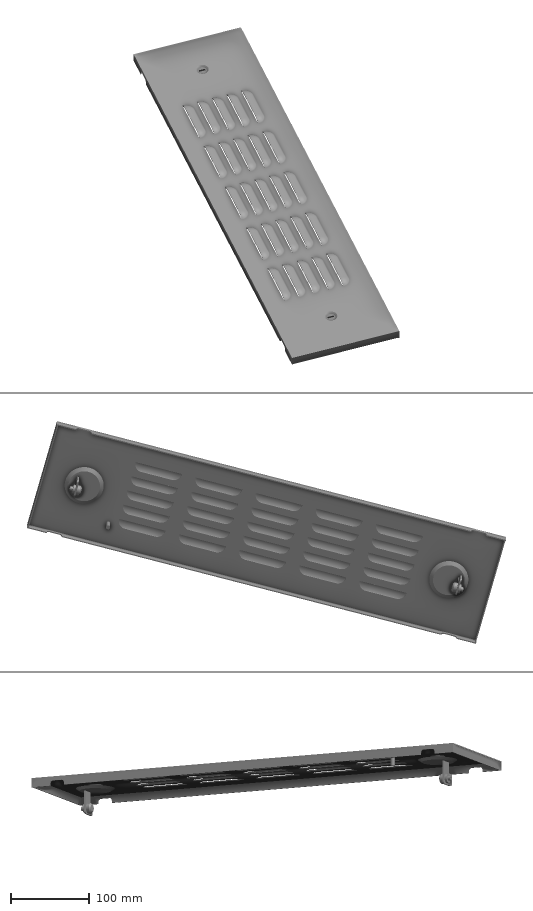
import cadquery as cq

length = 595.0
width = 146.0
skirt_depth = 12.0
sheet = 1.5
end_skirt_inset = 0.5

notch_outer_x = 271.5
notch_inner_x = 251.5
notch_top_z = -5.5
notch_radius = 4.0
notch_depth = skirt_depth + notch_top_z

louver_columns = 5
louver_rows = 5
louver_pitch_x = 80.0
louver_pitch_y = louver_pitch_x / 4
louver_offset_x = 4.0
louver_straight = 40.0
louver_opening_y = -6.5
louver_reach = 12.5
louver_height = 5.0
louver_wall = 1.5

fastener_x = 241.5
recess_diameter = 16.5
recess_floor_diameter = 12.0
recess_depth = 2.0
barrel_diameter = 19.5
screw_slot_length = 8.5
screw_slot_width = 3.0
screw_slot_depth = 2.5

collar_top_radius = 25.0
collar_bottom_radius = 20.0
collar_top_z = -6.0
collar_bottom_z = -9.0
leg_x = 253.0
leg_width = 15.0
leg_thickness = 2.1
leg_bottom_z = -38.5
leg_corner_radius = 3.0
wing_top_z = -23.0
wing_reach_y = 8.0
wing_shift_x = 0.9
pivot_z = -31.0
washer_radius = 6.0
washer_thickness = 3.0
pin_radius = 3.0
pin_length = 6.5
pin_hole_diameter = 2.5
knob_radius = 6.5
knob_length = 6.0
knob_chamfer = 2.0

stud_x = -198.0
stud_y = 43.0
stud_diameter = 5.5
stud_bottom_z = -17.0


def box_between(x_range, y_range, z_range):
    """Box spanning the given coordinate ranges."""
    size = [high - low for low, high in (x_range, y_range, z_range)]
    low_corner = (x_range[0], y_range[0], z_range[0])
    return cq.Workplane("XY").box(*size, centered=False).translate(low_corner)


def vertical_cylinder(x, y, diameter, bottom_z, top_z):
    return cq.Workplane("XY", origin=(x, y, bottom_z)).circle(diameter / 2).extrude(top_z - bottom_z)


def make_panel():
    """Panel with a skirt all round; the end skirts are set in slightly below the top sheet."""
    panel = cq.Workplane("XY").box(length, width, skirt_depth, centered=(True, True, False))
    panel = panel.translate((0, 0, -skirt_depth))
    inner_half_x = length / 2 - end_skirt_inset - sheet
    inner_half_y = width / 2 - sheet
    panel = panel.cut(
        box_between((-inner_half_x, inner_half_x), (-inner_half_y, inner_half_y), (-skirt_depth, -sheet))
    )
    inset = box_between(
        (length / 2 - end_skirt_inset, length / 2), (-inner_half_y, inner_half_y), (-skirt_depth, -sheet)
    )
    return panel.cut(inset).cut(inset.mirror("YZ"))


def make_notch():
    """Round-topped cutter through both long skirts on the +X side."""
    notch = box_between(
        (notch_inner_x, notch_outer_x), (-width, width), (notch_top_z - notch_depth, notch_top_z)
    )
    return notch.edges("|Y and >Z").fillet(notch_radius)


def make_hood(reach, height, bottom_z):
    """Solid hood centred on X: an arc-topped profile swept straight, then revolved at both ends."""
    half_straight = louver_straight / 2
    arc_radius = (reach**2 + height**2) / (2 * height)
    middle_y = reach / 2
    middle_z = height - arc_radius + (arc_radius**2 - middle_y**2) ** 0.5

    def profile(x):
        return (
            cq.Workplane("YZ", origin=(x, 0, 0))
            .moveTo(0, bottom_z)
            .lineTo(0, height)
            .threePointArc((middle_y, middle_z), (reach, 0))
            .lineTo(reach, bottom_z)
            .close()
        )

    middle = profile(-half_straight).extrude(louver_straight)
    end = profile(-half_straight).revolve(90, (0, 0, 0), (0, 1, 0))
    return middle.union(end).union(end.mirror("YZ"))


def add_louvers(panel):
    hood = make_hood(louver_reach, louver_height, -sheet)
    opening = make_hood(louver_reach - louver_wall, louver_height - louver_wall, -2 * sheet)
    for column in range(louver_columns):
        for row in range(louver_rows):
            x = louver_offset_x + (column - (louver_columns - 1) / 2) * louver_pitch_x
            y = (row - (louver_rows - 1) / 2) * louver_pitch_y + louver_opening_y
            panel = panel.union(hood.translate((x, y, 0))).cut(opening.translate((x, y, 0)))
    return panel


def make_cone(top_radius, bottom_radius, top_z, bottom_z):
    """Cone frustum on the axis of the +X fastener."""
    return (
        cq.Workplane("XY", origin=(fastener_x, 0, top_z))
        .circle(top_radius)
        .workplane(offset=bottom_z - top_z)
        .circle(bottom_radius)
        .loft()
    )


def make_recess():
    """Conical seat of the +X fastener, with the screw slot in its floor."""
    seat = make_cone(recess_diameter / 2, recess_floor_diameter / 2, 0, -recess_depth)
    slot = cq.Workplane("XY", origin=(fastener_x, 0, -recess_depth)).box(
        screw_slot_width, screw_slot_length, 2 * screw_slot_depth
    )
    return seat.union(slot)


def make_fastener():
    """Barrel joining the panel to a tapered collar."""
    barrel = vertical_cylinder(fastener_x, 0, barrel_diameter, collar_bottom_z, -sheet)
    collar = make_cone(collar_top_radius, collar_bottom_radius, collar_top_z, collar_bottom_z)
    return barrel.union(collar)


def cylinder_along_x(radius, x_start, x_end):
    """Cylinder on the latch pivot axis."""
    return cq.Workplane("YZ", origin=(x_start, 0, pivot_z)).circle(radius).extrude(x_end - x_start)


def make_latch():
    """Hanging leg, skewed wing and pivot hardware of the +X latch."""
    half_width = leg_width / 2
    leg_outer_x = leg_x + leg_thickness / 2
    leg_inner_x = leg_x - leg_thickness / 2

    leg = box_between((leg_inner_x, leg_outer_x), (-half_width, half_width), (leg_bottom_z, collar_top_z))
    leg = leg.edges("|X and <Z").fillet(leg_corner_radius)

    wing_tip_y = -half_width - wing_reach_y
    wing = (
        cq.Workplane("XY", origin=(0, 0, leg_bottom_z))
        .polyline([
            (leg_outer_x, -half_width + leg_thickness),
            (leg_outer_x, -half_width),
            (leg_outer_x + wing_shift_x, wing_tip_y),
            (leg_inner_x + wing_shift_x, wing_tip_y),
            (leg_inner_x, -half_width),
            (leg_inner_x, -half_width + leg_thickness),
        ])
        .close()
        .extrude(wing_top_z - leg_bottom_z)
    )
    wing_rounding = box_between(
        (leg_x - leg_width, leg_x + leg_width),
        (wing_tip_y, 0),
        (leg_bottom_z, wing_top_z),
    ).edges("|X and <Z and <Y").fillet(leg_corner_radius)
    wing = wing.intersect(wing_rounding)

    washer = cylinder_along_x(washer_radius, leg_x, leg_outer_x + washer_thickness)
    pin = cylinder_along_x(pin_radius, leg_x, leg_outer_x + pin_length)
    pin = pin.faces(">X").workplane().hole(pin_hole_diameter, pin_length / 2)
    knob = cylinder_along_x(knob_radius, leg_inner_x - knob_length, leg_x)
    knob = knob.faces("<X").chamfer(knob_chamfer)
    return leg.union(wing).union(knob).union(washer).union(pin)


def add_both_ends(body, feature):
    return body.union(feature).union(feature.mirror("YZ"))


def cut_both_ends(body, feature):
    return body.cut(feature).cut(feature.mirror("YZ"))


panel = cut_both_ends(make_panel(), make_notch())
panel = add_louvers(panel)
panel = add_both_ends(panel, make_fastener())
panel = cut_both_ends(panel, make_recess())
panel = add_both_ends(panel, make_latch())
result = panel.union(vertical_cylinder(stud_x, stud_y, stud_diameter, stud_bottom_z, -sheet))